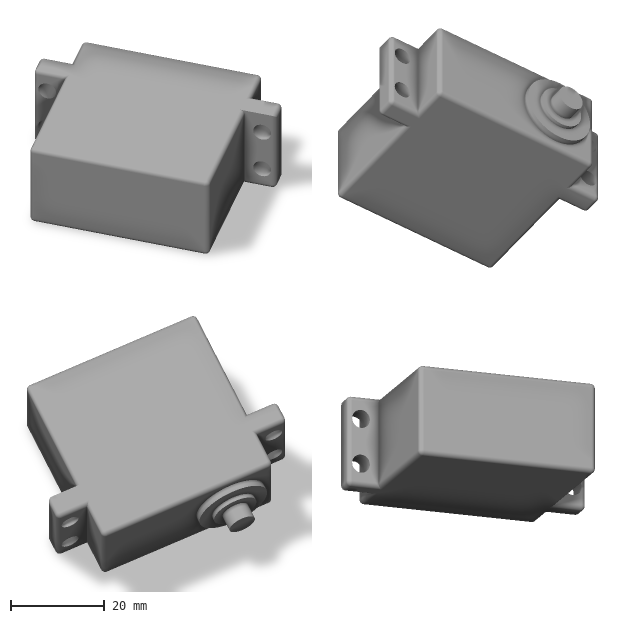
import cadquery as cq

case_width = 40.0
case_depth = 39.0
height = 20.0
tab_span = 54.0
tab_thickness = 5.0
tab_setback = 8.0
edge_radius = height / 20

hole_diameter = 4.0
hole_spacing_x = 48.0
hole_spacing_z = height / 2

shaft_inset = 10.0
shaft_x = shaft_inset - case_width / 2
shaft_steps = [(16.0, 1.5), (10.0, 0.95), (6.0, 3.5)]

tab_front = case_depth - tab_setback - tab_thickness
selection_margin = 0.05


def selection_box(x, y, z, length_x, length_y, length_z):
    """Box selector centred on a point, picking edges by their centres."""
    half = (length_x / 2, length_y / 2, length_z / 2)
    low = (x - half[0], y - half[1], z - half[2])
    high = (x + half[0], y + half[1], z + half[2])
    return cq.selectors.BoxSelector(low, high)


def make_body():
    """Case and mounting tabs with rounded outer edges."""
    case = cq.Workplane("XY").box(case_width, case_depth, height, centered=(True, False, True))
    tabs = (
        cq.Workplane("XY")
        .box(tab_span, tab_thickness, height, centered=(True, False, True))
        .translate((0, tab_front, 0))
    )
    body = case.union(tabs)

    inside_corners = selection_box(
        0, tab_front + tab_thickness / 2, 0,
        case_width + selection_margin, tab_thickness + selection_margin, selection_margin,
    )
    sharp_tab_edge = selection_box(
        (case_width + tab_span) / 4, tab_front, height / 2,
        selection_margin, selection_margin, selection_margin,
    )
    sharp_edges = cq.selectors.SumSelector(inside_corners, sharp_tab_edge)
    return body.edges(cq.selectors.InverseSelector(sharp_edges)).fillet(edge_radius)


def make_shaft():
    """Stepped output shaft rising from the rear face of the case."""
    shaft = cq.Workplane("XZ")
    base = case_depth
    for diameter, length in shaft_steps:
        step = cq.Workplane("XZ", origin=(shaft_x, base, 0)).circle(diameter / 2).extrude(-length)
        shaft = shaft.add(step)
        base += length
    return shaft.combine()


def make_mounting_holes():
    """Through holes for both tabs."""
    return (
        cq.Workplane("XZ", origin=(0, tab_front, 0))
        .rarray(hole_spacing_x, hole_spacing_z, 2, 2)
        .circle(hole_diameter / 2)
        .extrude(-tab_thickness)
    )


result = make_body().cut(make_mounting_holes()).union(make_shaft())